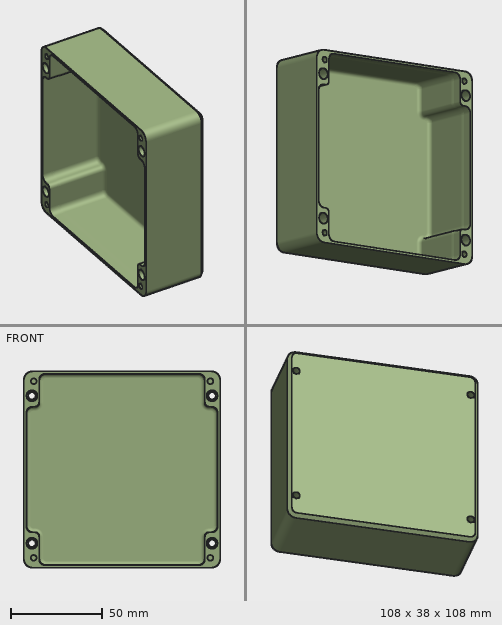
import cadquery as cq

side = 108.0
depth = 38.0
corner_radius = 5.0
back_chamfer = 2.0
back_thickness = 2.0

wall = 1.6
boss_x = 8.6
boss_z = 19.7
pocket_radius = 3.3
boss_radius = 2.5
floor_fillet = 2.2

rim_widening = 0.2
rim_depth = 5.4
slope_depth = 2.0

screw_x = 49.5
screw_z = 40.5
screw_diameter = 4.0
counterbore_diameter = 6.0
counterbore_depth = 32.4
pilot_offset = 48.5
pilot_diameter = 3.1
pilot_depth = 10.8

rim_plane = cq.Plane(origin=(0, -depth / 2, 0), xDir=(-1, 0, 0), normal=(0, 1, 0))


def pocket_bar(half_x, half_z, length, corner):
    """Rectangular prism going in from the rim, with rounded upright edges."""
    bar = cq.Workplane(rim_plane).rect(2 * half_x, 2 * half_z).extrude(length)
    return bar.edges("|Y").fillet(corner)


def cavity(length, widening=0.0):
    """Cross-shaped prism between the bosses, widened outwards all round."""
    reach = side / 2 - wall + widening
    inner_x = side / 2 - boss_x + widening
    inner_z = side / 2 - boss_z + widening
    corner = pocket_radius + widening
    wide = pocket_bar(reach, inner_z, length, corner)
    tall = pocket_bar(inner_x, reach, length, corner)

    margin = 0.1
    box_x = inner_x + margin
    box_z = inner_z + margin
    boss_edges = cq.selectors.BoxSelector((-box_x, -depth, -box_z), (box_x, depth, box_z))
    return wide.union(tall).edges("|Y").edges(boss_edges).fillet(boss_radius - widening)


def inner_wire(prism):
    """Outline of the innermost face of a prism."""
    return prism.faces(">Y").wires().val()


def boss_holes(x, z, diameter, length):
    """One round cutter from the rim in each of the four bosses."""
    points = [(sign_x * x, sign_z * z) for sign_x in (1, -1) for sign_z in (1, -1)]
    return cq.Workplane(rim_plane).pushPoints(points).circle(diameter / 2).extrude(length)


body = (
    cq.Workplane("XY")
    .box(side, depth, side)
    .edges("|Y").fillet(corner_radius)
    .faces(">Y").chamfer(back_chamfer)
)

pocket = cavity(depth - back_thickness).faces(">Y").edges().fillet(floor_fillet)
rim_step = cavity(rim_depth, rim_widening)
slope_end = cavity(rim_depth + slope_depth)
slope = cq.Workplane(cq.Solid.makeLoft([inner_wire(rim_step), inner_wire(slope_end)], True))
body = body.cut(pocket).cut(rim_step).cut(slope)

screw_holes = boss_holes(screw_x, screw_z, screw_diameter, depth)
counterbores = boss_holes(screw_x, screw_z, counterbore_diameter, counterbore_depth)
pilot_holes = boss_holes(pilot_offset, pilot_offset, pilot_diameter, pilot_depth)
result = body.cut(screw_holes).cut(counterbores).cut(pilot_holes)